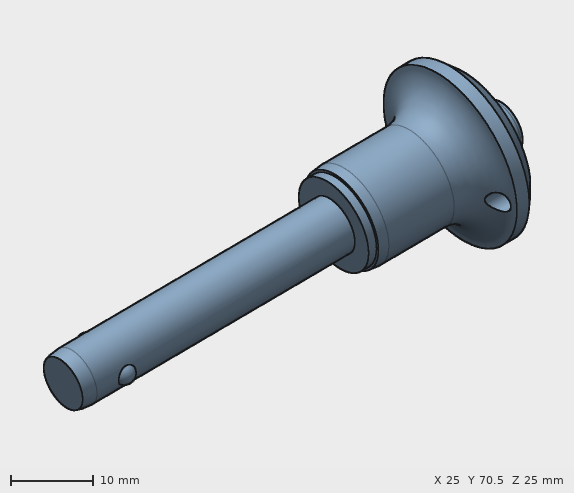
import cadquery as cq

pin_length = 70.5
button_edge_y = 0.5
flange_rear_y = 4.7
flange_bevel_y = 6.7
flare_end_y = 14.1
body_end_y = 24.5
collar_taper_y = 26.0
collar_end_y = 27.3
tip_length = 2.0
ball_y = 63.65

button_radius = 3.6
button_end_radius = 3.45
flange_radius = 25.0 / 2
flange_rear_radius = 10.5
body_radius = 14.2 / 2
collar_taper_radius = 6.9
collar_radius = 6.55
shaft_radius = 8.0 / 2
tip_radius = 3.7

flare_radius = flange_radius - body_radius
rim_end_y = flare_end_y - flare_radius

ball_radius = 1.5
ball_reach = 4.85
lanyard_hole_radius = 1.5
lanyard_hole_x = 10.0


def make_turned_body():
    """Revolve the half profile (X = radius, Y = distance from the button) about Y."""
    profile = (
        cq.Workplane("XY")
        .lineTo(button_end_radius, 0)
        .lineTo(button_radius, button_edge_y)
        .lineTo(button_radius, flange_rear_y)
        .lineTo(flange_rear_radius, flange_rear_y)
        .lineTo(flange_radius, flange_bevel_y)
        .lineTo(flange_radius, rim_end_y)
        .radiusArc((body_radius, flare_end_y), flare_radius)
        .lineTo(body_radius, body_end_y)
        .lineTo(collar_taper_radius, collar_taper_y)
        .lineTo(collar_radius, collar_taper_y)
        .lineTo(collar_radius, collar_end_y)
        .lineTo(shaft_radius, collar_end_y)
        .lineTo(shaft_radius, pin_length - tip_length)
        .tangentArcPoint((tip_radius, pin_length), relative=False)
        .lineTo(0, pin_length)
        .close()
    )
    return profile.revolve(360, (0, 0), (0, 1))


def add_locking_balls(pin):
    """Two balls sit in the shaft, on opposite sides along X."""
    for side in (-1, 1):
        ball_x = side * (ball_reach - ball_radius)
        pin = pin.union(cq.Workplane("XY").sphere(ball_radius).translate((ball_x, ball_y, 0)))
    return pin


def cut_lanyard_hole(pin):
    """The hole runs parallel to the pin through the whole flange."""
    hole = (
        cq.Workplane("XZ", origin=(lanyard_hole_x, 0, 0))
        .circle(lanyard_hole_radius)
        .extrude(-flare_end_y)
    )
    return pin.cut(hole)


pin = make_turned_body()
pin = add_locking_balls(pin)
pin = cut_lanyard_hole(pin)

result = pin.mirror("XZ").translate((0, pin_length / 2, 0))